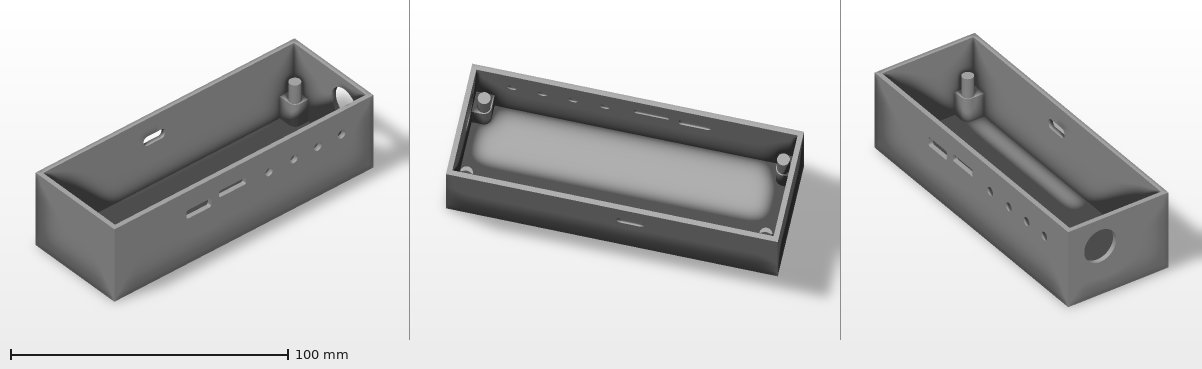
import cadquery as cq

width = 44.0
length = 122.6
height = 33.0
wall = 2.0

post_width = 8.1
post_length = 6.7
post_height = 10.0
post_corner_radius = 2.8
pin_diameter = 4.7
pin_height = 8.5
pin_inset_x = 7.2
pin_inset_y = 6.0

port_diameter = 14.0
port_x = 8.0
port_drop = 11.6

light_diameter = 3.5
light_setbacks = (15.1, 26.4, 37.6, 49.4)
light_drop = 10.4

first_slot = (12.8, 3.1, 0.7, 66.7, 8.8)
second_slot = (11.8, 3.9, 1.0, 82.6, 10.5)
switch_slot = (10.0, 4.2, 1.7, 68.0, 10.2)

inner_width = width - 2 * wall
inner_length = length - 2 * wall
cut_depth = 2 * wall


def make_shell():
    outer = cq.Workplane("XY").box(width, length, height, centered=(True, True, False))
    cavity = (
        cq.Workplane("XY", origin=(0, 0, wall))
        .box(inner_width, inner_length, height, centered=(True, True, False))
    )
    return outer.cut(cavity)


def make_post(x_side, y_side):
    """Post in the corner given by the signs x_side and y_side."""
    block_width = post_width + wall / 2
    block_length = post_length + wall / 2
    block_x = inner_width / 2 - post_width + block_width / 2
    block_y = inner_length / 2 - post_length + block_length / 2
    inner_corner = cq.selectors.NearestToPointSelector(
        (x_side * (block_x - block_width / 2), y_side * (block_y - block_length / 2), wall + post_height / 2)
    )
    block = (
        cq.Workplane("XY", origin=(x_side * block_x, y_side * block_y, wall))
        .box(block_width, block_length, post_height, centered=(True, True, False))
        .edges(inner_corner)
        .fillet(post_corner_radius)
    )
    pin_x = x_side * (width / 2 - pin_inset_x)
    pin_y = y_side * (length / 2 - pin_inset_y)
    pin = (
        cq.Workplane("XY", origin=(pin_x, pin_y, wall))
        .circle(pin_diameter / 2)
        .extrude(post_height + pin_height)
    )
    return block.union(pin)


def make_side_slot(x_side, slot):
    """Cutter for a rounded slot through the side wall at x_side."""
    slot_length, slot_height, corner_radius, setback, drop = slot
    return (
        cq.Workplane("XY", origin=(x_side * (width - wall) / 2, length / 2 - setback, height - drop))
        .box(cut_depth, slot_length, slot_height)
        .edges("|X")
        .fillet(corner_radius)
    )


def make_light_holes():
    centres = [
        (length / 2 - setback, height - light_drop)
        for setback in light_setbacks
    ]
    return (
        cq.Workplane("YZ", origin=((width - wall) / 2, 0, 0))
        .pushPoints(centres)
        .circle(light_diameter / 2)
        .extrude(cut_depth / 2, both=True)
    )


def make_port():
    return (
        cq.Workplane("XZ", origin=(port_x, (length - wall) / 2, height - port_drop))
        .circle(port_diameter / 2)
        .extrude(cut_depth / 2, both=True)
    )


result = make_shell()
for x_side in (-1, 1):
    for y_side in (-1, 1):
        result = result.union(make_post(x_side, y_side))

result = result.cut(make_port()).cut(make_light_holes())
result = result.cut(make_side_slot(1, first_slot))
result = result.cut(make_side_slot(1, second_slot))
result = result.cut(make_side_slot(-1, switch_slot))